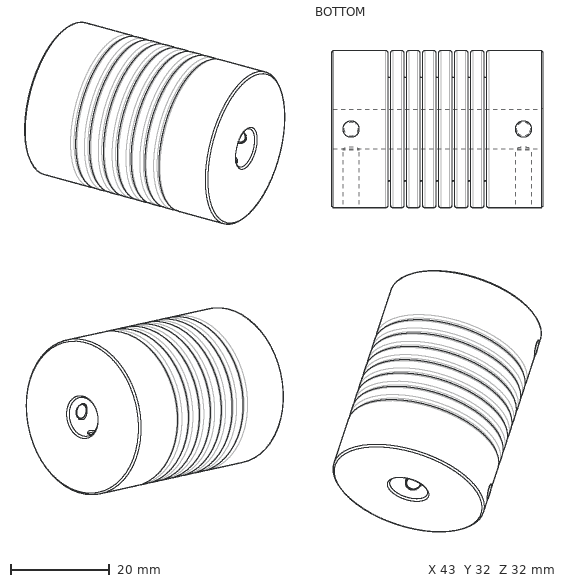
import cadquery as cq
import math

length = 43.0
outer_diameter = 32.0
bore_diameter = 8.0
end_chamfer = 0.4
outer_radius = outer_diameter / 2
bore_radius = bore_diameter / 2

hub_length = 11.52
groove_count = 7
groove_width = 0.47
groove_floor_diameter = 21.0
rim_fillet = 0.5
groove_pitch = (length - 2 * hub_length - groove_width) / (groove_count - 1)
first_groove_x = -groove_pitch * (groove_count - 1) / 2

screw_diameter = 3.3
screw_tip_chamfer = 0.25
screw_end_distance = 4.0
screw_x = length / 2 - screw_end_distance
screw_directions = [cq.Vector(0, 1, 0), cq.Vector(0, 0, -1)]
screw_places = [(x, direction) for x in (-screw_x, screw_x) for direction in screw_directions]


def radial_cylinder(x, direction, start_radius):
    """Cylinder of screw diameter from start_radius out to the outer radius."""
    base = cq.Vector(x, 0, 0) + direction * start_radius
    return cq.Solid.makeCylinder(screw_diameter / 2, outer_radius - start_radius, base, direction)


def make_groove_cutter(x):
    """Ring centred at x, with a full-round floor and a mouth that rounds the rims beside it."""
    half_width = groove_width / 2
    half_mouth = half_width + rim_fillet
    floor_radius = groove_floor_diameter / 2
    wall_start = floor_radius + half_width
    wall_end = outer_radius - rim_fillet
    arc_half_width = half_mouth - rim_fillet * math.cos(math.pi / 4)
    arc_radius = wall_end + rim_fillet * math.sin(math.pi / 4)
    profile = (
        cq.Workplane("XY")
        .moveTo(x - half_width, wall_start)
        .threePointArc((x, floor_radius), (x + half_width, wall_start))
        .lineTo(x + half_width, wall_end)
        .threePointArc((x + arc_half_width, arc_radius), (x + half_mouth, outer_radius))
        .lineTo(x - half_mouth, outer_radius)
        .threePointArc((x - arc_half_width, arc_radius), (x - half_width, wall_end))
        .close()
    )
    return profile.revolve(360, (0, 0, 0), (1, 0, 0))


def make_coupling():
    """Bored cylinder with chamfered ends, ring grooves and radial screw holes."""
    body = (
        cq.Workplane("YZ", origin=(-length / 2, 0, 0))
        .circle(outer_radius)
        .circle(bore_radius)
        .extrude(length)
        .faces("<X or >X")
        .edges()
        .chamfer(end_chamfer)
    )
    for index in range(groove_count):
        body = body.cut(make_groove_cutter(first_groove_x + index * groove_pitch))
    for x, direction in screw_places:
        body = body.cut(cq.Workplane(obj=radial_cylinder(x, direction, 0)))
    return body


def make_set_screw(x, direction):
    """Plain screw from the bore to the outer radius, chamfered at its inner tip."""
    screw = radial_cylinder(x, direction, bore_radius)
    axis_point = cq.Vector(x, 0, 0)
    tip_edge = min(screw.Edges(), key=lambda edge: (edge.Center() - axis_point).Length)
    return screw.chamfer(screw_tip_chamfer, None, [tip_edge])


coupling = make_coupling()
set_screws = [make_set_screw(x, direction) for x, direction in screw_places]

result = cq.Compound.makeCompound([coupling.solids().val(), *set_screws])